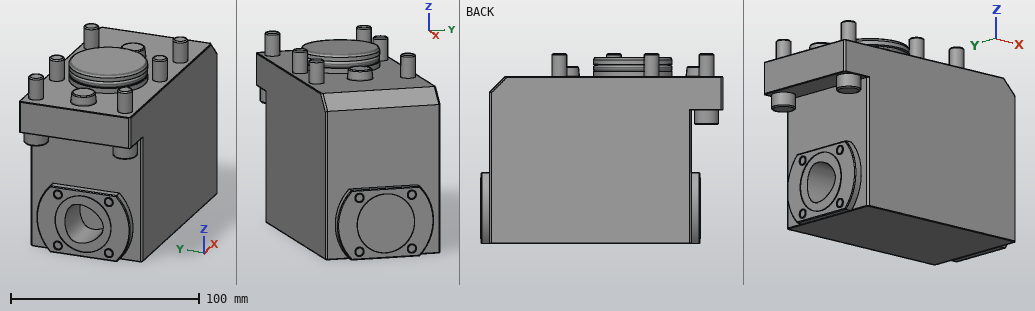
import cadquery as cq
import math


width = 64.0
overall_length = 129.0
plate_bottom = 71.0
housing_top = 88.8
flange_projection = 4.8
slope_size = 8.2
end_edge_chamfer = 1.0
rim_chamfer = 0.4
overhang = 16.8
housing_right = overall_length - flange_projection

screw_diameter = 8.0
screw_head_diameter = 13.0
screw_head_height = 7.7
screw_top = 101.0
screw_chamfer = 0.7
screw_offset_y = 25.5
overhang_screw_x = 8.8
far_screw_x = 87.0
rear_middle_screw_x = 38.0
front_middle_screw_x = 58.0

stud_foot_diameter = 13.8
stud_foot_height = 0.5
stud_diameter = 13.5
stud_tip_diameter = 12.6
stud_height = 5.4
stud_chamfer = 0.6
stud_positions_x = (12.9, 83.1)

spigot_x = 48.0
spigot_diameter = 42.0
spigot_top = 99.0
spigot_tip_diameter = 40.4
spigot_tip_chamfer_height = 1.4
spigot_tip_rounding = 0.5
groove_top = 95.4
groove_bottom = 91.6
groove_diameter = 37.0
ring_diameter = 41.8
ring_height = 3.4
ring_rounding = 1.25

flange_diameter = 53.6
flange_axis_z = 18.9
flange_chamfer = 0.5
lip_diameter = 32.0
lip_height = 0.4
flange_screw_offset = 14.6
flange_screw_hole_diameter = 5.0
flange_screw_diameter = 4.2
flange_screw_gap_depth = 0.4

socket_mean_diameter = 22.0
socket_eccentricity = 0.7
socket_taper = 1 / 20
socket_depth = 20.0
socket_curve_points = 60


def cylinder_z(x, y, bottom, top, diameter):
    return cq.Workplane("XY", origin=(x, y, bottom)).circle(diameter / 2).extrude(top - bottom)


def make_housing():
    """Block with an overhanging plate on the left and a sloped upper right corner."""
    outline = [
        (0, housing_top),
        (housing_right - slope_size, housing_top),
        (housing_right, housing_top - slope_size),
        (housing_right, 0),
        (overhang, 0),
        (overhang, plate_bottom),
        (0, plate_bottom),
    ]
    body = cq.Workplane("XZ").polyline(outline).close().extrude(width / 2, both=True)
    body = body.edges("not (|X or |Y)").chamfer(end_edge_chamfer)
    top_rim = body.faces(">Z").edges("<X or |X")
    bottom_rim = body.faces("<Z").edges()
    overhang_face = body.faces("-Z").faces(">Z")
    overhang_rim = overhang_face.edges("<X or |X")
    rims = top_rim.add(bottom_rim).add(overhang_rim)
    return rims.chamfer(rim_chamfer)


def make_screw(x, y):
    shank = cylinder_z(x, y, plate_bottom, screw_top, screw_diameter)
    return shank.faces(">Z").chamfer(screw_chamfer)


def make_screw_head(x, y):
    head = cylinder_z(x, y, plate_bottom - screw_head_height, plate_bottom, screw_head_diameter)
    return head.faces("<Z").chamfer(screw_chamfer)


def make_stud(x):
    """Tapered locating stud with a flared foot, standing on the housing."""
    tip_radius = stud_tip_diameter / 2
    outline = [
        (0, 0),
        (stud_foot_diameter / 2, 0),
        (stud_diameter / 2, stud_foot_height),
        (tip_radius, stud_height - stud_chamfer),
        (tip_radius - stud_chamfer, stud_height),
        (0, stud_height),
    ]
    stud = cq.Workplane("XZ").polyline(outline).close().revolve(360, (0, 0), (0, 1))
    return stud.translate((x, 0, housing_top))


def make_spigot():
    """Grooved spigot with the O-ring seated in its groove."""
    radius = spigot_diameter / 2
    outline = [
        (0, housing_top),
        (radius, housing_top),
        (radius, groove_bottom),
        (groove_diameter / 2, groove_bottom),
        (groove_diameter / 2, groove_top),
        (radius, groove_top),
        (radius, spigot_top - spigot_tip_chamfer_height),
        (spigot_tip_diameter / 2, spigot_top),
        (0, spigot_top),
    ]
    spigot = cq.Workplane("XZ").polyline(outline).close().revolve(360, (0, 0), (0, 1))
    spigot = spigot.faces(">Z").edges().fillet(spigot_tip_rounding)
    ring = cylinder_z(0, 0, groove_bottom, groove_bottom + ring_height, ring_diameter)
    ring = ring.edges().fillet(ring_rounding)
    return spigot.union(ring).translate((spigot_x, 0, 0))


def make_flange():
    """Flange with its outer face towards -X, seated on X = overhang."""
    seat = cq.Workplane("YZ", origin=(overhang, 0, flange_axis_z))
    thickness = flange_projection - lip_height
    disc = seat.circle(flange_diameter / 2).extrude(-thickness)
    flats = seat.rect(flange_diameter, 2 * flange_axis_z).extrude(-thickness)
    flange = disc.intersect(flats).faces("<X").chamfer(flange_chamfer)
    lip = seat.circle(lip_diameter / 2).extrude(-flange_projection)
    ring_gaps = (
        seat.workplane(offset=-thickness)
        .rect(2 * flange_screw_offset, 2 * flange_screw_offset, forConstruction=True)
        .vertices()
        .circle(flange_screw_hole_diameter / 2)
        .circle(flange_screw_diameter / 2)
        .extrude(flange_screw_gap_depth)
    )
    return flange.cut(ring_gaps).union(lip)


def lobed_curve(mean_diameter):
    """Points of the three-lobed profile in Y and Z, with one lobe towards -Y."""
    points = []
    radius = mean_diameter / 2
    e = socket_eccentricity
    for i in range(socket_curve_points):
        a = 2 * math.pi * i / socket_curve_points
        along = radius * math.cos(a) + 2 * e * math.cos(2 * a) - e * math.cos(4 * a)
        across = radius * math.sin(a) - 2 * e * math.sin(2 * a) - e * math.sin(4 * a)
        points.append((-along, across))
    return points


def make_socket():
    """Blind cavity narrowing from the left flange face towards +X."""
    mouth_x = overhang - flange_projection
    end_diameter = socket_mean_diameter - socket_depth * socket_taper
    mouth = cq.Workplane("YZ", origin=(mouth_x, 0, flange_axis_z))
    mouth = mouth.spline(lobed_curve(socket_mean_diameter), periodic=True).close()
    end = mouth.workplane(offset=socket_depth).spline(lobed_curve(end_diameter), periodic=True).close()
    return end.loft()


result = make_housing()
for side, middle_x in ((1, rear_middle_screw_x), (-1, front_middle_screw_x)):
    y = side * screw_offset_y
    for x in (overhang_screw_x, middle_x, far_screw_x):
        result = result.union(make_screw(x, y))
    result = result.union(make_screw_head(overhang_screw_x, y))

for x in stud_positions_x:
    result = result.union(make_stud(x))
result = result.union(make_spigot())

left_flange = make_flange()
housing_middle_x = (overhang + housing_right) / 2
right_flange = left_flange.mirror("YZ", (housing_middle_x, 0, 0))
result = result.union(left_flange).union(right_flange)
result = result.cut(make_socket())